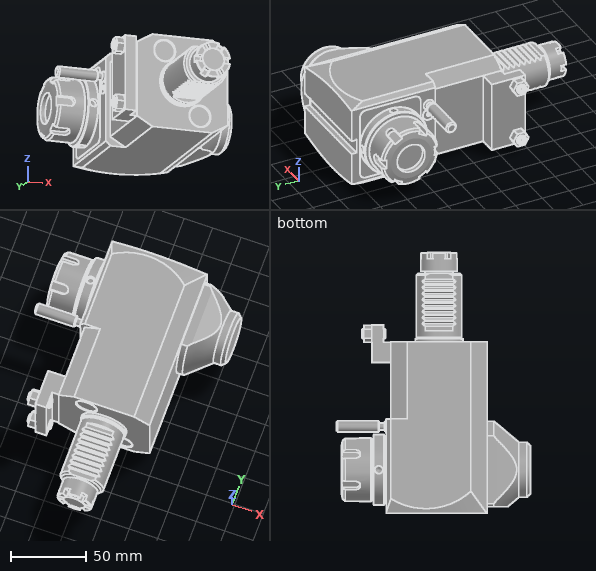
import cadquery as cq
import math


BODY_LENGTH = 113.8
BODY_HALF_HEIGHT = 32.0
BODY_HALF_WIDTH = 32.0
BODY_BEVEL_X = 10.9
BODY_BEVEL_Z = BODY_BEVEL_X * math.tan(math.radians(30))
HEAD_FACE_X = -35.0
HEAD_START_Y = 51.2
HEAD_BEVEL = 3.1
BACK_CONE_X = -8.6
BACK_CONE_Y = 66.6
BACK_CONE_RADIUS = 44.1
BACK_CONE_SLOPE = 0.34
KEYWAY_WIDTH = 10.0
KEYWAY_DEPTH = 3.8
PLUG_X = 12.5
PLUG_Z = 21.5
PLUG_RADIUS = 7.6
PLUG_DEPTH = 0.5

SPINDLE_Y = 85.0
PAD_LENGTH = 45.3
PAD_HEIGHT = 52.6
PAD_CORNER = 4.5
FACE_PAD_THICKNESS = 0.2
RING_RADIUS = 23.5
RING_REAR_X = -36.2
RING_FRONT_X = -43.6
RING_BEVEL = 0.5
RING_HOLE_RADIUS = 2.6
RING_HOLE_DEPTH = 3.5
RING_HOLE_TIP = 1.5
RING_HOLE_COUNT = 4
NECK_RADIUS = 17.6
NUT_RADIUS = 21.1
NUT_REAR_X = -44.6
NUT_FRONT_X = -64.9
NUT_FACE_RADIUS = 15.0
NUT_BEVEL_RADIUS = 19.7
NUT_BEVEL_X = -63.8
NUT_SHOULDER_X = -62.1
NUT_REAR_BEVEL = 0.5
COLLET_BORE_RADIUS = 10.4
COLLET_BORE_DEPTH = 3.5
NUT_SLOT_COUNT = 6
NUT_SLOT_WIDTH = 6.2
NUT_SLOT_END_X = -52.0
NUT_SLOT_FLOOR_RADIUS = 17.8

COOLANT_Y = 56.2
TUBE_Z = 17.0
TUBE_RADIUS = 3.8
TUBE_TIP_X = -68.0
TUBE_TIP_BEVEL = 1.0
TUBE_SHOULDER_X = -39.6
TUBE_SHOULDER_BEVEL = 0.7
TUBE_NECK_RADIUS = 2.5
TUBE_BALL_RADIUS = 4.3
PORT_Z = 9.5
PORT_RADIUS = 4.3
PORT_SOCKET_RADIUS = 1.4
PORT_SOCKET_DEPTH = 1.4

COVER_RADIUS = 32.4
COVER_BASE_END_X = 36.3
COVER_HALF_HEIGHT = 23.2
COVER_TOP = 24.5
COVER_TAPER_START_X = 38.4
COVER_TAPER_ANGLE = 15.5
CAP_RADIUS = 18.3
CAP_START_X = 53.0
CAP_SHOULDER_X = 58.1
CAP_END_X = 60.7
CAP_END_RADIUS = 16.0

COLLAR_RADIUS = 16.0
COLLAR_LENGTH = 1.7
SHANK_RADIUS = 15.2
SHANK_END_Y = -45.2
SHANK_BEVEL = 1.4
SHANK_GROOVE_RADIUS = 14.5
SHANK_GROOVE_END_Y = -2.8
FLAT_HEIGHT = 12.1
FLAT_START_Y = -7.3
TOOTH_PITCH = 4.0
TOOTH_DEPTH = 1.7
TOOTH_TIP_WIDTH = 0.7
VALLEY_COUNT = 8
FIRST_VALLEY_Y = -12.0
COUPLING_NECK_RADIUS = 9.3
COUPLING_START_Y = -46.5
COUPLING_RADIUS = 12.1
COUPLING_BEVEL = 0.3
COUPLING_CORE_RADIUS = 7.6
COUPLING_CORE_END_Y = -59.2
COUPLING_TOOTH_END_Y = -58.8
COUPLING_SLOT_DEPTH = 4.0
COUPLING_SLOT_WIDTH = 4.2
COUPLING_SLOT_COUNT = 6

BRACKET_HALF_HEIGHT = BODY_HALF_HEIGHT - BODY_BEVEL_Z
BRACKET_FRONT_X = -44.5
BRACKET_REAR_X = -36.7
BRACKET_TOP_Y = 14.0
BRACKET_FOOT_Y = 0.3
BRACKET_END_Y = -11.0
SCREW_Y = -5.2
SCREW_Z = 19.9
SCREW_RADIUS = 3.3
SCREW_FRONT_X = -51.2
SCREW_REAR_X = -35.1
SCREW_BEVEL = 0.7
SCREW_SOCKET = 3.8
SCREW_SOCKET_DEPTH = 1.7
NUT_HEX_DIAMETER = 11.5
NUT_HEX_THICKNESS = 5.4


def block(x0, x1, y0, y1, z0, z1):
    """Box between two opposite corners."""
    return cq.Workplane("XY").box(x1 - x0, y1 - y0, z1 - z0, centered=False).translate((x0, y0, z0))


def along_x(points, y, z=0):
    """Solid of revolution about a line parallel to X; points are (x, radius)."""
    profile = [(points[0][0], 0)] + points + [(points[-1][0], 0)]
    return cq.Workplane("XY").polyline(profile).close().revolve(360, (0, 0), (1, 0)).translate((0, y, z))


def along_y(points, x=0, z=0):
    """Solid of revolution about a line parallel to Y; points are (y, radius)."""
    profile = [(0, points[0][0])] + [(r, y) for y, r in points] + [(0, points[-1][0])]
    return cq.Workplane("XY").polyline(profile).close().revolve(360, (0, 0), (0, 1)).translate((x, 0, z))


def around_spindle(shape, count):
    """Copies of a shape spread evenly about the spindle axis."""
    step = 360 / count
    return [shape.rotate((0, SPINDLE_Y, 0), (1, SPINDLE_Y, 0), i * step) for i in range(count)]


def housing():
    h = BODY_HALF_HEIGHT
    w = BODY_HALF_WIDTH
    main = cq.Workplane("XZ").polyline([
        (-w, BODY_BEVEL_Z - h), (BODY_BEVEL_X - w, -h), (w - BODY_BEVEL_X, -h), (w, BODY_BEVEL_Z - h),
        (w, h - BODY_BEVEL_Z), (w - BODY_BEVEL_X, h), (BODY_BEVEL_X - w, h), (-w, h - BODY_BEVEL_Z),
    ]).close().extrude(-BODY_LENGTH)
    head = block(HEAD_FACE_X, 0, HEAD_START_Y, BODY_LENGTH, -h, h)
    head = head.faces("<X").edges("|Y").chamfer(HEAD_BEVEL)
    body = main.union(head)

    equator_radius = BACK_CONE_RADIUS + h / BACK_CONE_SLOPE
    cone = cq.Workplane("XZ").polyline([
        (0, -h), (BACK_CONE_RADIUS, -h), (equator_radius, 0), (BACK_CONE_RADIUS, h), (0, h),
    ]).close().revolve(360, (0, 0), (0, 1)).translate((BACK_CONE_X, BACK_CONE_Y, 0))
    front_half = block(HEAD_FACE_X, w, 0, BACK_CONE_Y, -h, h)
    body = body.intersect(cone.union(front_half))

    keyway = block(HEAD_FACE_X, w, BODY_LENGTH - KEYWAY_DEPTH, BODY_LENGTH,
                   -KEYWAY_WIDTH / 2, KEYWAY_WIDTH / 2)
    body = body.cut(keyway)
    for side in (-1, 1):
        plug = along_y([(0, PLUG_RADIUS), (PLUG_DEPTH, PLUG_RADIUS - PLUG_DEPTH)],
                       side * PLUG_X, -side * PLUG_Z)
        body = body.cut(plug)
    return body


def spindle_pad():
    pad = block(HEAD_FACE_X - FACE_PAD_THICKNESS, HEAD_FACE_X,
                SPINDLE_Y - PAD_LENGTH / 2, SPINDLE_Y + PAD_LENGTH / 2, -PAD_HEIGHT / 2, PAD_HEIGHT / 2)
    return pad.edges("|X").fillet(PAD_CORNER)


def spindle_ring():
    ring = along_x([
        (RING_FRONT_X, RING_RADIUS - RING_BEVEL), (RING_FRONT_X + RING_BEVEL, RING_RADIUS),
        (RING_REAR_X - RING_BEVEL, RING_RADIUS), (RING_REAR_X, RING_RADIUS - RING_BEVEL),
    ], SPINDLE_Y)
    hole = (cq.Workplane("XZ").polyline([
        (0, 0), (RING_HOLE_RADIUS, 0), (RING_HOLE_RADIUS, -RING_HOLE_DEPTH),
        (0, -RING_HOLE_DEPTH - RING_HOLE_TIP),
    ]).close().revolve(360, (0, 0), (0, 1))
        .translate(((RING_FRONT_X + RING_REAR_X) / 2, SPINDLE_Y, RING_RADIUS)))
    for copy in around_spindle(hole, RING_HOLE_COUNT):
        ring = ring.cut(copy)
    return ring


def collet_nut():
    nut = along_x([
        (NUT_FRONT_X, NUT_FACE_RADIUS), (NUT_BEVEL_X, NUT_BEVEL_RADIUS),
        (NUT_SHOULDER_X, NUT_RADIUS), (NUT_REAR_X - NUT_REAR_BEVEL, NUT_RADIUS),
        (NUT_REAR_X, NUT_RADIUS - NUT_REAR_BEVEL),
    ], SPINDLE_Y)
    bore = along_x([(NUT_FRONT_X, COLLET_BORE_RADIUS),
                    (NUT_FRONT_X + COLLET_BORE_DEPTH, COLLET_BORE_RADIUS)], SPINDLE_Y)
    nut = nut.cut(bore)

    half_width = NUT_SLOT_WIDTH / 2
    round_x = NUT_SLOT_END_X - half_width
    slot = (cq.Workplane("XZ").moveTo(NUT_FRONT_X, -half_width).lineTo(round_x, -half_width)
            .threePointArc((NUT_SLOT_END_X, 0), (round_x, half_width)).lineTo(NUT_FRONT_X, half_width)
            .close().extrude(NUT_RADIUS - NUT_SLOT_FLOOR_RADIUS)
            .translate((0, SPINDLE_Y - NUT_SLOT_FLOOR_RADIUS, 0)))
    for copy in around_spindle(slot, NUT_SLOT_COUNT):
        nut = nut.cut(copy)
    return nut


def spindle():
    neck = along_x([(NUT_REAR_X, NECK_RADIUS), (HEAD_FACE_X, NECK_RADIUS)], SPINDLE_Y)
    return neck.union(spindle_pad()).union(spindle_ring()).union(collet_nut())


def coolant_tube():
    tube = along_x([
        (TUBE_TIP_X, TUBE_RADIUS - TUBE_TIP_BEVEL), (TUBE_TIP_X + TUBE_TIP_BEVEL, TUBE_RADIUS),
        (TUBE_SHOULDER_X - TUBE_SHOULDER_BEVEL, TUBE_RADIUS),
        (TUBE_SHOULDER_X, TUBE_RADIUS - TUBE_SHOULDER_BEVEL), (TUBE_SHOULDER_X, TUBE_NECK_RADIUS),
        (HEAD_FACE_X, TUBE_NECK_RADIUS),
    ], COOLANT_Y, TUBE_Z)
    ball_center_x = HEAD_FACE_X + TUBE_BALL_RADIUS / 2
    ball = cq.Workplane("XY").sphere(TUBE_BALL_RADIUS).translate((ball_center_x, COOLANT_Y, TUBE_Z))
    return tube.union(ball)


def coolant_port():
    return along_x([(HEAD_FACE_X - FACE_PAD_THICKNESS, PORT_RADIUS), (HEAD_FACE_X, PORT_RADIUS)],
                   COOLANT_Y, PORT_Z)


def port_socket():
    return along_x([(HEAD_FACE_X - FACE_PAD_THICKNESS, PORT_SOCKET_RADIUS),
                    (HEAD_FACE_X + PORT_SOCKET_DEPTH, PORT_SOCKET_RADIUS)], COOLANT_Y, PORT_Z)


def rear_cover():
    cap_profile = [(CAP_START_X, CAP_RADIUS), (CAP_SHOULDER_X, CAP_RADIUS), (CAP_END_X, CAP_END_RADIUS)]
    base_profile = [(BODY_HALF_WIDTH, COVER_RADIUS), (COVER_BASE_END_X, COVER_RADIUS)]
    cover = along_x(base_profile + cap_profile, SPINDLE_Y)
    taper_drop = (CAP_END_X - COVER_TAPER_START_X) * math.tan(math.radians(COVER_TAPER_ANGLE))
    end_height = COVER_HALF_HEIGHT - taper_drop
    envelope = (cq.Workplane("XZ").polyline([
        (BODY_HALF_WIDTH, -COVER_HALF_HEIGHT), (COVER_TAPER_START_X, -COVER_HALF_HEIGHT),
        (CAP_END_X, -end_height), (CAP_END_X, end_height),
        (COVER_TAPER_START_X, COVER_HALF_HEIGHT), (BODY_HALF_WIDTH, COVER_HALF_HEIGHT),
    ]).close().extrude(COVER_TOP + COVER_RADIUS).translate((0, SPINDLE_Y + COVER_TOP, 0)))
    return cover.intersect(envelope).union(along_x(cap_profile, SPINDLE_Y))


def shank():
    stem = along_y([
        (0, COLLAR_RADIUS), (-COLLAR_LENGTH, COLLAR_RADIUS),
        (-COLLAR_LENGTH, SHANK_GROOVE_RADIUS), (SHANK_GROOVE_END_Y, SHANK_GROOVE_RADIUS),
        (SHANK_GROOVE_END_Y, SHANK_RADIUS), (SHANK_END_Y + SHANK_BEVEL, SHANK_RADIUS),
        (SHANK_END_Y, SHANK_RADIUS - SHANK_BEVEL),
    ])
    flat = block(-SHANK_RADIUS, SHANK_RADIUS, SHANK_END_Y, FLAT_START_Y, FLAT_HEIGHT, SHANK_RADIUS)
    valley_half_width = (TOOTH_PITCH - TOOTH_TIP_WIDTH) / 2
    for i in range(VALLEY_COUNT):
        y = FIRST_VALLEY_Y - i * TOOTH_PITCH
        valley = (cq.Workplane("YZ").polyline([
            (y - valley_half_width, FLAT_HEIGHT), (y, FLAT_HEIGHT - TOOTH_DEPTH),
            (y + valley_half_width, FLAT_HEIGHT),
        ]).close().extrude(SHANK_RADIUS, both=True))
        flat = flat.union(valley)
    return stem.cut(flat).cut(flat.mirror("XY"))


def drive_coupling():
    neck = along_y([(SHANK_END_Y, COUPLING_NECK_RADIUS), (COUPLING_START_Y, COUPLING_NECK_RADIUS)])
    crown = along_y([
        (COUPLING_START_Y, COUPLING_RADIUS), (COUPLING_TOOTH_END_Y + COUPLING_BEVEL, COUPLING_RADIUS),
        (COUPLING_TOOTH_END_Y, COUPLING_RADIUS - COUPLING_BEVEL),
    ])
    slot = block(0, COUPLING_RADIUS, COUPLING_TOOTH_END_Y, COUPLING_TOOTH_END_Y + COUPLING_SLOT_DEPTH,
                 -COUPLING_SLOT_WIDTH / 2, COUPLING_SLOT_WIDTH / 2)
    for i in range(COUPLING_SLOT_COUNT):
        crown = crown.cut(slot.rotate((0, 0, 0), (0, 1, 0), i * 360 / COUPLING_SLOT_COUNT))
    core = along_y([(COUPLING_START_Y, COUPLING_CORE_RADIUS), (COUPLING_CORE_END_Y, COUPLING_CORE_RADIUS)])
    return neck.union(crown).union(core)


def bracket_screw(z):
    screw = along_x([
        (SCREW_FRONT_X, SCREW_RADIUS - SCREW_BEVEL), (SCREW_FRONT_X + SCREW_BEVEL, SCREW_RADIUS),
        (SCREW_REAR_X - SCREW_BEVEL, SCREW_RADIUS), (SCREW_REAR_X, SCREW_RADIUS - SCREW_BEVEL),
    ], SCREW_Y, z)
    hex_nut = (cq.Workplane("YZ").polygon(6, NUT_HEX_DIAMETER).extrude(NUT_HEX_THICKNESS)
               .translate((BRACKET_FRONT_X - NUT_HEX_THICKNESS, SCREW_Y, z)))
    socket = (cq.Workplane("YZ").polygon(6, SCREW_SOCKET).extrude(SCREW_SOCKET_DEPTH)
              .translate((SCREW_FRONT_X, SCREW_Y, z)))
    return screw.union(hex_nut).cut(socket)


def bracket():
    h = BRACKET_HALF_HEIGHT
    plate = block(BRACKET_FRONT_X, BRACKET_REAR_X, BRACKET_END_Y, BRACKET_TOP_Y, -h, h)
    foot = block(BRACKET_REAR_X, -BODY_HALF_WIDTH, BRACKET_FOOT_Y, BRACKET_TOP_Y, -h, h)
    assembly = plate.union(foot)
    for z in (-SCREW_Z, SCREW_Z):
        assembly = assembly.union(bracket_screw(z))
    return assembly


result = housing()
for make_component in (spindle, coolant_port, coolant_tube, rear_cover, shank, drive_coupling, bracket):
    result = result.union(make_component())
result = result.cut(port_socket())